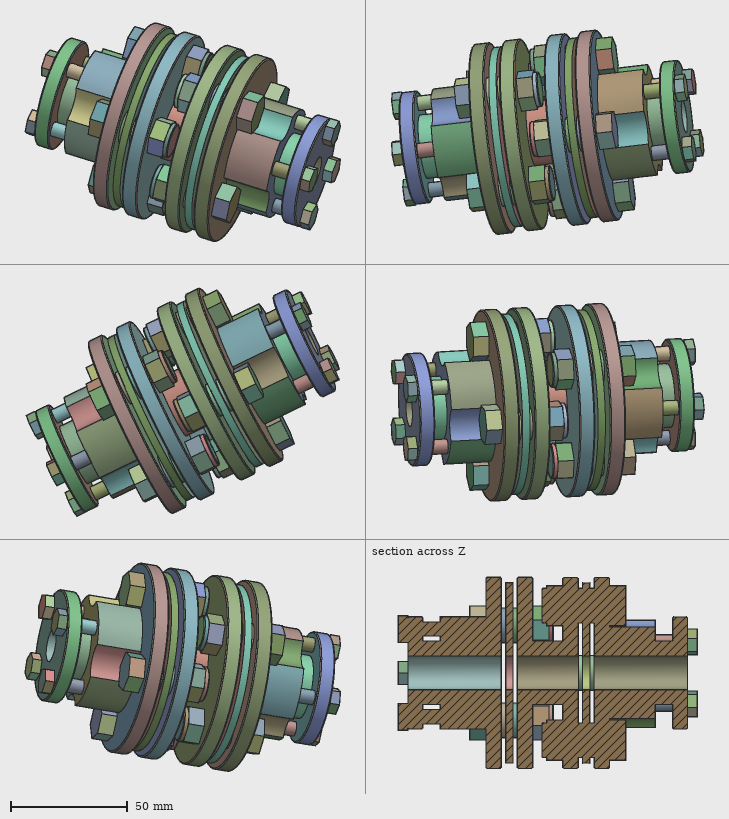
import cadquery as cq
import math


total_length = 128.0
small_head_thickness = 4.1
plate_thickness = 6.5
flange_thickness = 6.7
plate_gap = 7.3
hub_length = 19.6
disc_pack_thickness = 3.2
disc_pack_gap = 1.75
large_head_thickness = 6.9
thread_protrusion = 2.0

flange_diameter = 82.0
disc_pack_diameter = 77.4
hub_diameter = 48.2
tube_diameter = 27.4
bore_diameter = 14.3
edge_chamfer = 0.5
tip_chamfer = 0.4

bolts_per_circle = 4
hex_sides = 6
large_bolt_circle_radius = 28.75
large_hex_across_flats = 15.0
large_shank_diameter = 15.0
small_bolt_circle_radius = 18.75
small_hex_across_flats = 10.0
small_shank_diameter = 6.3

scallop_radius = 9.15
scallop_turn = -3.0

bolt_pitch = 360.0 / bolts_per_circle
half_turn = bolt_pitch / 2

outer_end = -total_length / 2
plate_start = outer_end + small_head_thickness
plate_end = plate_start + plate_thickness
hub_start = plate_end + plate_gap
flange_start = hub_start + hub_length
flange_end = flange_start + flange_thickness
disc_pack_start = flange_end + disc_pack_gap
disc_pack_end = disc_pack_start + disc_pack_thickness
inner_flange_start = disc_pack_end + disc_pack_gap
inner_flange_end = inner_flange_start + flange_thickness
nut_end = inner_flange_end + large_head_thickness
thread_end = nut_end + thread_protrusion


def cylinder(start, end, diameter, center=(0, 0)):
    return cq.Workplane("YZ", origin=(start, 0, 0)).center(*center).circle(diameter / 2).extrude(end - start)


def chamfered_disc(start, end, diameter):
    return cylinder(start, end, diameter).edges().chamfer(edge_chamfer)


def hexagon(start, end, across_flats, circle_radius):
    """Hexagonal prism on the +Y axis, with a corner pointing away from X."""
    corner_diameter = across_flats / math.cos(math.pi / hex_sides)
    sketch = cq.Workplane("YZ", origin=(start, 0, 0)).center(circle_radius, 0)
    return sketch.polygon(hex_sides, corner_diameter).extrude(end - start)


def around_axis(body, first_angle):
    """Copies of a body spaced evenly about X."""
    copies = cq.Workplane("YZ")
    for index in range(bolts_per_circle):
        angle = first_angle + index * bolt_pitch
        copies = copies.add(body.rotate((0, 0, 0), (1, 0, 0), angle))
    return copies.combine()


def scalloped_hub():
    scallop = cylinder(hub_start, flange_start, 2 * scallop_radius, (large_bolt_circle_radius, 0))
    hub = cylinder(hub_start, flange_start, hub_diameter)
    return hub.cut(around_axis(scallop, half_turn + scallop_turn))


def small_bolts():
    head = hexagon(outer_end, plate_start, small_hex_across_flats, small_bolt_circle_radius)
    shank = cylinder(plate_start, hub_start, small_shank_diameter, (small_bolt_circle_radius, 0))
    return around_axis(head.union(shank), 0)


def large_bolts():
    head_start = flange_start - large_head_thickness
    center = (large_bolt_circle_radius, 0)
    head = hexagon(head_start, flange_start, large_hex_across_flats, large_bolt_circle_radius)
    nut = hexagon(inner_flange_end, nut_end, large_hex_across_flats, large_bolt_circle_radius)
    shank = cylinder(flange_start, thread_end, large_shank_diameter, center)
    shank = shank.faces(">X").chamfer(tip_chamfer)
    return around_axis(head.union(shank).union(nut), half_turn)


def coupling_half():
    half = chamfered_disc(plate_start, plate_end, hub_diameter)
    half = half.union(cylinder(plate_end, hub_start, tube_diameter))
    half = half.union(scalloped_hub())
    half = half.union(chamfered_disc(flange_start, flange_end, flange_diameter))
    half = half.union(cylinder(disc_pack_start, disc_pack_end, disc_pack_diameter))
    half = half.union(chamfered_disc(inner_flange_start, inner_flange_end, flange_diameter))
    half = half.union(small_bolts())
    return half.union(large_bolts())


left_half = coupling_half()
right_half = left_half.mirror("YZ").rotate((0, 0, 0), (1, 0, 0), half_turn)
spacer_tube = cylinder(inner_flange_end, -inner_flange_end, tube_diameter)
bore = cylinder(outer_end, -outer_end, bore_diameter)

result = left_half.union(right_half).union(spacer_tube).cut(bore)